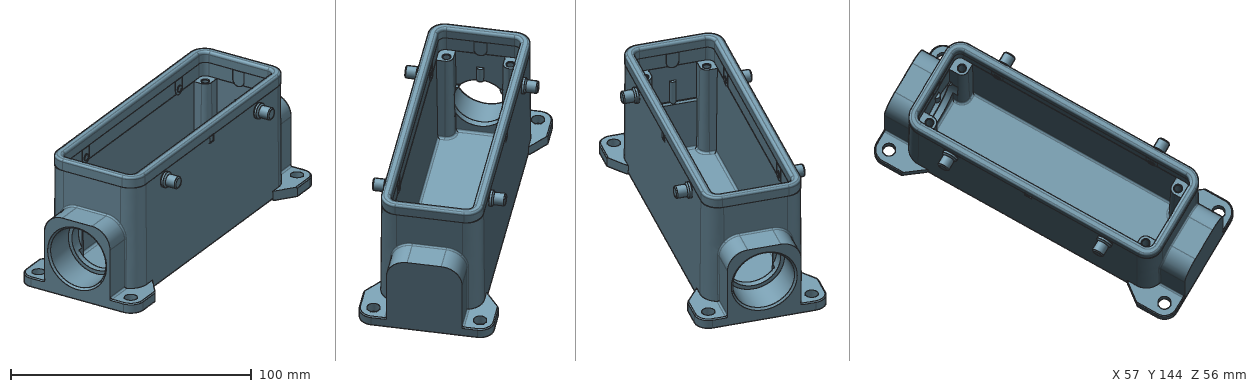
import cadquery as cq
import math

TOTAL_LENGTH = 144.0
TOTAL_HEIGHT = 56.0

SHELL_BOTTOM = 1.0
RIM_Z = 51.0
RIM_HALF_X = 21.5
RIM_HALF_Y = 60.0
SHELL_CORNER = 7.6
SHELL_DRAFT = 0.45

MOUTH_HALF_X = 17.35
MOUTH_HALF_Y = 56.25
MOUTH_CORNER = 3.0
STEP_Z = 44.7
STEP_WIDTH = 0.15
LEDGE_Z = 27.2
LEDGE_WIDTH = 1.4
LEDGE_CHAMFER = 0.8
FLOOR_Z = 3.5
POCKET_DRAFT = 1.0
FLOOR_FILLET = 1.0

SCREW_X = 13.5
SCREW_Y = 51.8
POST_RADIUS = 3.0
SCREW_DIAMETER = 3.0
SCREW_DEPTH = 12.0
SCREW_CHAMFER = 0.35

PAD_WIDTH = 5.5
PAD_PROUD = 0.2
RIB_DIAMETER = 3.0
RIB_TOP = 37.5
NOTCH_WIDTH = 3.4
NOTCH_HEIGHT = 3.1
NOTCH_DEPTH = 0.5

FLANGE_HALF_X = 28.5
FLANGE_HEIGHT = 4.4
FLANGE_CORNER = 6.0
FLANGE_INNER_Y = 47.4
FLANGE_INNER_HALF_X = 21.6
FLANGE_SLOPE_Y = 56.5
FLANGE_HOLE_DIAMETER = 5.5
FLANGE_HOLE_X = 22.5
FLANGE_HOLE_Y = 66.0
FLANGE_UNDER_CHAMFER = 1.0
EDGE_CHAMFER = 0.5

BOSS_HALF_X = 16.0
BOSS_TOP = 36.0
BOSS_CORNER = 8.8
BOSS_ROOT_FILLET = 0.8
BOSS_SHELL_FILLET = 0.7
ENTRY_Z = 19.0
ENTRY_DIAMETER = 26.9
ENTRY_DEPTH = 15.0
ENTRY_CHAMFER = 0.9
ENTRY_LIP_DIAMETER = 23.5

GASKET_CORNER = 7.0
GASKET_OUTER_FILLET = 1.0
GASKET_INNER_FILLET = 1.3

PIN_Y = 37.0
PIN_Z = 46.6
PIN_END_X = 28.0
PIN_DIAMETER = 5.3
PIN_END_CHAMFER = 0.5
PIN_COLLAR_DIAMETER = 6.9
PIN_COLLAR_START_X = 21.2
PIN_COLLAR_END_X = 22.5
PIN_CONE_END_X = 23.2
PIN_STEM_DIAMETER = 3.0
PIN_STEM_END_X = 16.7

HALF_LENGTH = TOTAL_LENGTH / 2
SHELL_HEIGHT = RIM_Z - SHELL_BOTTOM
SHELL_GROWTH = SHELL_HEIGHT * math.tan(math.radians(SHELL_DRAFT))
POCKET_HALF_X = MOUTH_HALF_X - STEP_WIDTH
POCKET_HALF_Y = MOUTH_HALF_Y - STEP_WIDTH
END_SIGNS = (-1, 1)


def rounded_block(half_x, half_y, corner, bottom, height, draft=0.0):
    """Upright block with rounded vertical corners; a positive draft narrows it upwards."""
    outline = cq.Sketch().rect(2 * half_x, 2 * half_y).vertices().fillet(corner)
    return cq.Workplane("XY", origin=(0, 0, bottom)).placeSketch(outline).extrude(height, taper=draft)


def pocket_section(top, bottom, end_y):
    """Drafted pocket that leaves a screw post in each corner; end_y is its half length at STEP_Z."""
    inset = (STEP_Z - top) * math.tan(math.radians(POCKET_DRAFT))
    half_x = POCKET_HALF_X - inset
    half_y = end_y - inset
    radius = POST_RADIUS + inset
    post_x = SCREW_X - radius
    post_y = SCREW_Y - radius
    diagonal = radius * math.sqrt(0.5)
    arc_x = SCREW_X - diagonal
    arc_y = SCREW_Y - diagonal
    return (
        cq.Workplane("XY", origin=(0, 0, top))
        .moveTo(half_x, -post_y)
        .lineTo(half_x, post_y)
        .lineTo(SCREW_X, post_y)
        .threePointArc((arc_x, arc_y), (post_x, SCREW_Y))
        .lineTo(post_x, half_y)
        .lineTo(-post_x, half_y)
        .lineTo(-post_x, SCREW_Y)
        .threePointArc((-arc_x, arc_y), (-SCREW_X, post_y))
        .lineTo(-half_x, post_y)
        .lineTo(-half_x, -post_y)
        .lineTo(-SCREW_X, -post_y)
        .threePointArc((-arc_x, -arc_y), (-post_x, -SCREW_Y))
        .lineTo(-post_x, -half_y)
        .lineTo(post_x, -half_y)
        .lineTo(post_x, -SCREW_Y)
        .threePointArc((arc_x, -arc_y), (SCREW_X, -post_y))
        .close()
        .extrude(bottom - top, taper=POCKET_DRAFT)
    )


def cavity():
    mouth = rounded_block(MOUTH_HALF_X, MOUTH_HALF_Y, MOUTH_CORNER, STEP_Z, RIM_Z - STEP_Z)
    upper = pocket_section(STEP_Z, LEDGE_Z, POCKET_HALF_Y)
    lower = pocket_section(LEDGE_Z, FLOOR_Z, POCKET_HALF_Y - LEDGE_WIDTH)
    lower = lower.faces("<Z").edges().fillet(FLOOR_FILLET)
    return mouth.union(upper).union(lower)


def flange_plate():
    """Mounting plate at the +Y end."""
    plate = (
        cq.Workplane("XY")
        .moveTo(-FLANGE_INNER_HALF_X, FLANGE_INNER_Y)
        .lineTo(-FLANGE_HALF_X, FLANGE_SLOPE_Y)
        .lineTo(-FLANGE_HALF_X, HALF_LENGTH)
        .lineTo(FLANGE_HALF_X, HALF_LENGTH)
        .lineTo(FLANGE_HALF_X, FLANGE_SLOPE_Y)
        .lineTo(FLANGE_INNER_HALF_X, FLANGE_INNER_Y)
        .close()
        .extrude(FLANGE_HEIGHT)
    )
    plate = plate.faces(">Y").edges("|Z").fillet(FLANGE_CORNER)
    return plate.faces("<Z").edges("<Y").chamfer(FLANGE_UNDER_CHAMFER)


def entry_boss():
    """Arched boss at the +Y end; its inner end lies inside the shell wall."""
    length = HALF_LENGTH - POCKET_HALF_Y
    boss = (
        cq.Workplane("XY", origin=(0, POCKET_HALF_Y + length / 2, 0))
        .box(2 * BOSS_HALF_X, length, BOSS_TOP, centered=(True, True, False))
    )
    return boss.faces(">Z").edges("|Y").fillet(BOSS_CORNER)


def shell_with_bosses():
    """Solid shell block blended into the bosses at both ends."""
    boss = entry_boss()
    body = shell_block().union(boss).union(boss.mirror("XZ"))
    for sign in END_SIGNS:
        junction = cq.selectors.NearestToPointSelector((0, sign * RIM_HALF_Y, BOSS_TOP))
        body = body.edges(junction).fillet(BOSS_SHELL_FILLET)
    return body


def foot():
    """Flange plate and boss of the +Y end, joined with a root fillet."""
    body = flange_plate().union(entry_boss())
    middle_y = (FLANGE_SLOPE_Y + HALF_LENGTH) / 2
    for side in END_SIGNS:
        root = cq.selectors.NearestToPointSelector((side * BOSS_HALF_X, middle_y, FLANGE_HEIGHT))
        body = body.edges(root).fillet(BOSS_ROOT_FILLET)
    body = body.faces(">Y").edges("not <Z").chamfer(EDGE_CHAMFER)
    holes = (
        cq.Workplane("XY")
        .pushPoints([(side * FLANGE_HOLE_X, FLANGE_HOLE_Y) for side in END_SIGNS])
        .circle(FLANGE_HOLE_DIAMETER / 2)
        .extrude(FLANGE_HEIGHT)
    )
    return body.cut(holes)


def cable_entry():
    """Stepped bore through the -Y boss and end wall."""
    lip_radius = ENTRY_LIP_DIAMETER / 2
    bore_radius = ENTRY_DIAMETER / 2
    inner_y = HALF_LENGTH - SCREW_Y
    profile = (
        cq.Workplane("XY", origin=(0, -HALF_LENGTH, ENTRY_Z))
        .lineTo(bore_radius + ENTRY_CHAMFER, 0)
        .lineTo(bore_radius, ENTRY_CHAMFER)
        .lineTo(bore_radius, ENTRY_DEPTH)
        .lineTo(lip_radius, ENTRY_DEPTH)
        .lineTo(lip_radius, inner_y)
        .lineTo(0, inner_y)
        .close()
    )
    return profile.revolve(360, (0, 0, 0), (0, 1, 0))


def wall_pad(thickness):
    """Round-bottomed pad standing in the XZ plane, its front at y = 0 and its back at y = thickness."""
    half_width = PAD_WIDTH / 2
    return (
        cq.Workplane("XZ", origin=(0, thickness, 0))
        .moveTo(-half_width, RIM_Z)
        .lineTo(-half_width, PIN_Z)
        .threePointArc((0, PIN_Z - half_width), (half_width, PIN_Z))
        .lineTo(half_width, RIM_Z)
        .close()
        .extrude(thickness)
    )


def wall_pads():
    """One pad at each end wall and one round each pin."""
    pad = wall_pad(RIM_HALF_X - MOUTH_HALF_X)
    end_pad = pad.translate((0, MOUTH_HALF_Y - PAD_PROUD, 0)).intersect(shell_block())
    side_pad = pad.translate((0, MOUTH_HALF_X - PAD_PROUD, 0)).rotate((0, 0, 0), (0, 0, 1), -90)
    pads = [end_pad, end_pad.mirror("XZ")]
    for y_sign in END_SIGNS:
        placed = side_pad.translate((0, y_sign * PIN_Y, 0)).intersect(shell_block())
        pads += [placed, placed.mirror("YZ")]
    return pads


def shell_block():
    return rounded_block(
        RIM_HALF_X + SHELL_GROWTH,
        RIM_HALF_Y + SHELL_GROWTH,
        SHELL_CORNER + SHELL_GROWTH,
        SHELL_BOTTOM,
        SHELL_HEIGHT,
        SHELL_DRAFT,
    )


def end_ribs():
    """Half-round ribs that stand on the end wall ledges."""
    return (
        cq.Workplane("XY", origin=(0, 0, LEDGE_Z - LEDGE_CHAMFER))
        .pushPoints([(0, sign * POCKET_HALF_Y) for sign in END_SIGNS])
        .circle(RIB_DIAMETER / 2)
        .extrude(RIB_TOP - LEDGE_Z + LEDGE_CHAMFER)
    )


def screw_holes():
    points = [(x * SCREW_X, y * SCREW_Y) for x in END_SIGNS for y in END_SIGNS]
    radius = SCREW_DIAMETER / 2
    profile = (
        cq.Workplane("XZ")
        .lineTo(radius + SCREW_CHAMFER, 0)
        .lineTo(radius, -SCREW_CHAMFER)
        .lineTo(radius, -SCREW_DEPTH)
        .lineTo(0, -SCREW_DEPTH)
        .close()
    )
    hole = profile.revolve(360, (0, 0, 0), (0, 1, 0))
    return [hole.translate((x, y, STEP_Z)) for x, y in points]


def side_notches():
    """Shallow rectangular notches just below the rim, halfway along both long sides."""
    notch = cq.Workplane("XY").box(2 * NOTCH_DEPTH, NOTCH_WIDTH, NOTCH_HEIGHT)
    notch_z = RIM_Z - NOTCH_HEIGHT / 2
    return [notch.translate((sign * RIM_HALF_X, 0, notch_z)) for sign in END_SIGNS]


def make_pin(x_sign, y_sign):
    """Locking pin with a stem through the wall and a collar seated in its outer face."""
    end_radius = PIN_DIAMETER / 2
    pin = (
        cq.Workplane("XY")
        .moveTo(PIN_STEM_END_X, 0)
        .lineTo(PIN_STEM_END_X, PIN_STEM_DIAMETER / 2)
        .lineTo(PIN_COLLAR_START_X, PIN_STEM_DIAMETER / 2)
        .lineTo(PIN_COLLAR_START_X, PIN_COLLAR_DIAMETER / 2)
        .lineTo(PIN_COLLAR_END_X, PIN_COLLAR_DIAMETER / 2)
        .lineTo(PIN_CONE_END_X, end_radius)
        .lineTo(PIN_END_X - PIN_END_CHAMFER, end_radius)
        .lineTo(PIN_END_X, end_radius - PIN_END_CHAMFER)
        .lineTo(PIN_END_X, 0)
        .close()
        .revolve(360, (0, 0, 0), (1, 0, 0))
    )
    if x_sign < 0:
        pin = pin.mirror("YZ")
    return pin.translate((0, y_sign * PIN_Y, PIN_Z))


def make_gasket():
    """Sealing ring on the rim of the housing."""
    height = TOTAL_HEIGHT - RIM_Z
    outer = rounded_block(RIM_HALF_X, RIM_HALF_Y, GASKET_CORNER, RIM_Z, height)
    outer = outer.faces(">Z").edges().fillet(GASKET_OUTER_FILLET)
    opening = rounded_block(MOUTH_HALF_X, MOUTH_HALF_Y, MOUTH_CORNER, RIM_Z, height)
    ring = outer.cut(opening)
    lip = cq.selectors.BoxSelector(
        (-MOUTH_HALF_X - 0.1, -MOUTH_HALF_Y - 0.1, TOTAL_HEIGHT - 0.1),
        (MOUTH_HALF_X + 0.1, MOUTH_HALF_Y + 0.1, TOTAL_HEIGHT + 0.1),
    )
    return ring.edges(lip).fillet(GASKET_INNER_FILLET)


def make_housing(pins):
    end_foot = foot()
    body = shell_with_bosses().union(end_foot).union(end_foot.mirror("XZ"))
    body = body.cut(cavity())
    ledge_y = POCKET_HALF_Y - LEDGE_WIDTH
    for sign in END_SIGNS:
        ledge_edge = cq.selectors.NearestToPointSelector((0, sign * ledge_y, LEDGE_Z))
        body = body.edges(ledge_edge).chamfer(LEDGE_CHAMFER)
    body = body.union(end_ribs())
    for pad in wall_pads():
        body = body.union(pad)
    body = body.cut(cable_entry())
    for cutter in screw_holes() + side_notches() + pins:
        body = body.cut(cutter)
    return body


locking_pins = [make_pin(x_sign, y_sign) for x_sign in END_SIGNS for y_sign in END_SIGNS]
gasket = make_gasket()
housing = make_housing(locking_pins)

result = cq.Compound.makeCompound([housing.val(), gasket.val(), *[pin.val() for pin in locking_pins]])